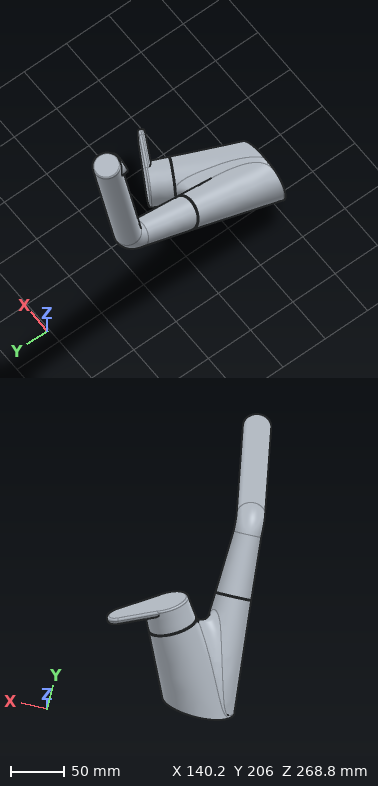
import cadquery as cq
import math


body_angle = 61.0
body_base_x = 2.0
body_taper = 4.5
seam_diameter = 47.0
seam_height = 85.0
cap_height = 24.7
groove_width = 1.0
groove_depth = 0.5
groove_clearance = 2.7
cap_edge_round = 2.0

lever_thickness = 6.5
lever_tip_radius = 13.5
lever_reach = 44.6
lever_edge_round = 2.5

spout_x = -9.7
spout_base_z = 3.0
spout_angle = 21.3
tube_angle = 81.0
collar_diameter = 34.7
spout_base_radius = 25.3
collar_height = 106.0
corner_distance = 72.3
tube_radius = 13.5
tube_length = 171.0
bend_radius = 21.5
tip_edge_round = 1.3

outlet_diameter = 21.0
outlet_root_diameter = 22.9
outlet_from_tip = 16.5
outlet_face_offset = 15.0

blend_radius = 13.5
base_overrun = 21.5
trim_size = 806.8


def direction_in_xy(angle):
    return cq.Vector(math.cos(math.radians(angle)), math.sin(math.radians(angle)), 0)


def direction_in_yz(angle):
    return cq.Vector(0, math.cos(math.radians(angle)), math.sin(math.radians(angle)))


def cone(start, axis, start_radius, end_radius, length):
    return cq.Workplane(obj=cq.Solid.makeCone(start_radius, end_radius, length, start, axis))


def ring_groove(center, axis, radius):
    start = center - axis * (groove_width / 2)
    outer = cq.Solid.makeCylinder(radius + groove_clearance, groove_width, start, axis)
    inner = cq.Solid.makeCylinder(radius - groove_depth, groove_width, start, axis)
    return cq.Workplane(obj=outer.cut(inner))


body_axis = direction_in_xy(body_angle)
body_start = cq.Vector(body_base_x, 0, 0)
seam_radius = seam_diameter / 2
body_slope = math.tan(math.radians(body_taper))
cap_top_height = seam_height + cap_height
cap_top = body_start + body_axis * cap_top_height
cap_radius = seam_radius - cap_height * body_slope

spout_axis = direction_in_yz(spout_angle)
spout_start = cq.Vector(spout_x, 0, spout_base_z)
collar_radius = collar_diameter / 2
collar_center = spout_start + spout_axis * collar_height
bend_setback = bend_radius * math.tan(math.radians((tube_angle - spout_angle) / 2))
neck_length = corner_distance - bend_setback
spout_slope = (spout_base_radius - collar_radius) / collar_height
tube_axis = direction_in_yz(tube_angle)
corner = collar_center + spout_axis * corner_distance
tube_tip = corner + tube_axis * tube_length


def make_handle_body():
    start_radius = seam_radius + (seam_height + base_overrun) * body_slope
    body = cone(body_start - body_axis * base_overrun, body_axis,
                start_radius, cap_radius, cap_top_height + base_overrun)
    return body.faces(cq.selectors.DirectionMinMaxSelector(body_axis)).edges().fillet(cap_edge_round)


def make_spout_cone():
    start_radius = spout_base_radius + base_overrun * spout_slope
    return cone(spout_start - spout_axis * base_overrun, spout_axis,
                start_radius, collar_radius, collar_height + base_overrun)


def make_neck():
    return cone(collar_center, spout_axis, collar_radius, tube_radius, neck_length)


def make_bend_and_tube():
    bend_start = corner - spout_axis * bend_setback
    bend_end = corner + tube_axis * bend_setback
    to_center = cq.Vector(0, -spout_axis.z, spout_axis.y)
    bend_center = bend_start + to_center * bend_radius
    bend_middle = bend_center + (corner - bend_center).normalized() * bend_radius
    path = cq.Wire.assembleEdges([
        cq.Edge.makeThreePointArc(bend_start, bend_middle, bend_end),
        cq.Edge.makeLine(bend_end, tube_tip),
    ])
    profile = cq.Workplane(cq.Plane(bend_start, (1, 0, 0), spout_axis)).circle(tube_radius)
    tube = profile.sweep(cq.Workplane(obj=path))
    return tube.faces(">Z").edges().fillet(tip_edge_round)


def make_outlet():
    facing = cq.Vector(0, -tube_axis.z, tube_axis.y)
    root = tube_tip - tube_axis * outlet_from_tip
    return cone(root, facing, outlet_root_diameter / 2, outlet_diameter / 2, outlet_face_offset)


def make_lever():
    lean = math.asin((cap_radius - lever_tip_radius) / lever_reach)
    along, across = math.sin(lean), math.cos(lean)
    plane = cq.Plane(cap_top, (body_axis.y, -body_axis.x, 0), body_axis)
    tip_x = lever_reach + lever_tip_radius * along
    tip_y = lever_tip_radius * across
    root_x = cap_radius * along
    root_y = cap_radius * across
    plate = (
        cq.Workplane(plane)
        .moveTo(root_x, -root_y)
        .lineTo(tip_x, -tip_y)
        .threePointArc((lever_reach + lever_tip_radius, 0), (tip_x, tip_y))
        .lineTo(root_x, root_y)
        .close()
        .extrude(-lever_thickness)
    )
    rims = plate.faces(cq.selectors.ParallelDirSelector(body_axis)).edges()
    root_direction = cq.selectors.ParallelDirSelector(cq.Vector(0, 0, 1))
    return rims.edges(cq.selectors.InverseSelector(root_direction)).fillet(lever_edge_round)


def keep_above_base(shape):
    return shape.intersect(cq.Workplane("XY").box(*[trim_size] * 3).translate((0, trim_size / 2, 0)))


def make_blended_body():
    joined = make_handle_body().union(make_spout_cone())
    blended = joined.edges("%BSPLINE").fillet(blend_radius)
    return keep_above_base(blended).union(keep_above_base(joined))


result = make_blended_body().union(make_lever())
result = result.union(make_neck()).union(make_bend_and_tube()).union(make_outlet())
result = result.cut(ring_groove(collar_center, spout_axis, collar_radius))
result = result.cut(ring_groove(body_start + body_axis * seam_height, body_axis, seam_radius))